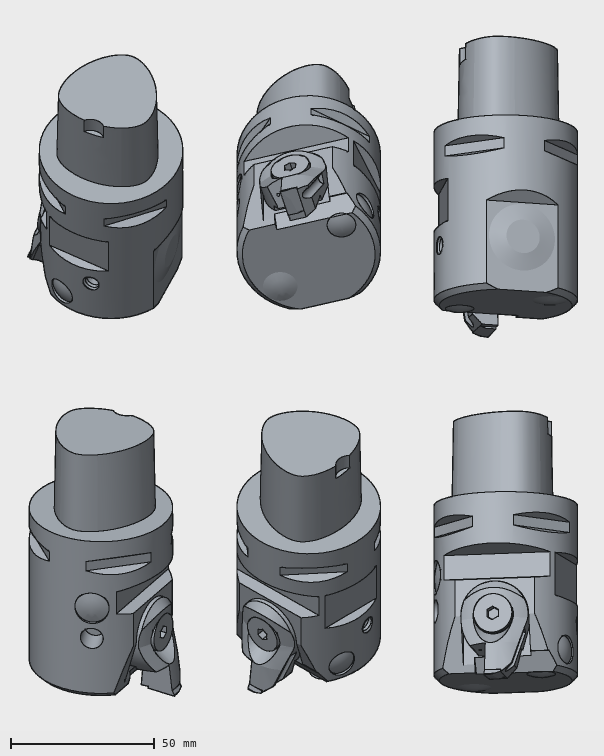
import cadquery as cq
import math


shank_length = 30.0
shank_base_width = 35.2
shank_top_width = 34.2
lobe_height = 1.3
lobe_half_angle = 37.5
points_per_arc = 7
key_notch_radius = 5.0
key_notch_offset = 18.9
key_notch_depth = 5.8

body_radius = 50.0 / 2
body_length = 62.0
body_chamfer = 1.9
wall_slope = math.tan(math.radians(14))

groove_angles = (45, 135, 225, 315)
groove_floor_offset = 22.1
groove_mid_z = -10.0
groove_floor_height = 3.6
groove_flank_slope = math.tan(math.radians(27.5))

side_flat_offset = 22.0
side_flat_angle = 7.8
side_flat_top = -20.2
side_flat_bottom = -35.2
back_flat_x = 21.4
back_flat_top = -30.3
upper_flat_x = 16.5
upper_flat_top = -20.3
upper_flat_bottom = -28.9
seat_x = 20.6
seat_floor_x = 16.0
slope_foot_x = 15.3
relief_side_y = 8.0
relief_top = -55.3
relief_top_x = 16.9
relief_foot_x = 12.9

insert_axis_z = -42.9
insert_radius = 23.8 / 2
seat_radius = 24.0 / 2
insert_face_x = 25.0
insert_face_sections = (
    (-28.8, insert_face_x, 22.1),
    (-44.5, insert_face_x, 22.1),
    (-54.0, 28.3, 15.4),
    (-66.2, 29.8, 17.3),
)
insert_chamfer_radius = 9.0
insert_chamfer_depth = 2.8
taper_angle = 16.2
blade_bottom = -64.8
blade_corner = (-7.2, -61.3)
bevel_end_y = -3.7
curved_side_middle = (9.2, -52.5)
curved_side_end = (6.2, -56.4)
blade_back_top = (-18.0, -54.7)
blade_back_foot_x = -17.1
chip_side_y = 2.0
chip_roof_front = (-30.7, -53.6)
chip_roof_back = (-15.4, -57.2)
outlet_radius = 0.5
outlet_center = (-22.6, 4.8)
outlet_depth = 2.9
side_groove_radius = 2.0
side_groove_start = cq.Vector(-20.7, -11.1, -48.8)
side_groove_end = cq.Vector(-25.6, -6.2, -65.6)
tip_root = -63.9
tip_root_x = -29.5
tip_edge = -65.5
tip_back_x = -19.9
tip_heel = (-0.7, -65.8)
tip_bottom = shank_length - 96
tip_reach = 55.3 - body_radius

head_radius = 13.6 / 2
scoop_radius = 14.2 / 2
scoop_start_x = -23.0
scoop_shift = cq.Vector(-7.8, 0, -6.0)
head_face_x = 24.9
head_length = 4.8
screw_shank_radius = 8.0 / 2
screw_end_x = 5.8
socket_corner_width = 4.7
socket_depth = 2.9

radial_offset_angle = 21.5
small_plug_diameter = 10.0
large_plug_diameter = 12.0
plug_height = 1.1
plug_sink = 1.1
large_plug_z = -26.5
small_plug_z = -53.7
small_end_plug = (-8.8, -14.2)
large_end_plug = (10.5, 13.1)
blind_hole_radius = 8.0 / 2
blind_hole_depth = 9.6
blind_hole_z = -38.4
clearance = 1.0
far_outside = 38.4


def xz_prism(points, y_low, y_high):
    """Solid with the given XZ outline between two Y values."""
    outline = cq.Workplane("XZ", origin=(0, y_high, 0)).polyline(points).close()
    return outline.extrude(y_high - y_low)


def x_cylinder(radius, x_low, x_high, z=insert_axis_z):
    """Cylinder along X on the tool's centre plane."""
    return cq.Workplane("YZ", origin=(x_low, 0, z)).circle(radius).extrude(x_high - x_low)


def lobed_outline(width, z):
    """Closed three-lobed curve of constant width, one lobe toward +Y."""
    def point(angle):
        support = width / 2 + lobe_height * math.sin(-3 * angle)
        slope = -3 * lobe_height * math.cos(3 * angle)
        x = support * math.cos(angle) - slope * math.sin(angle)
        y = support * math.sin(angle) + slope * math.cos(angle)
        return cq.Vector(x, y, z)

    def tangent(angle):
        return cq.Vector(-math.sin(angle), math.cos(angle), 0)

    edges = []
    for lobe in (90, 210, 330):
        start = lobe - lobe_half_angle
        middle = lobe + lobe_half_angle
        end = start + 120
        for low, high in ((start, middle), (middle, end)):
            step = (high - low) / (points_per_arc - 1)
            angles = [math.radians(low + i * step) for i in range(points_per_arc)]
            ends = [tangent(angles[0]), tangent(angles[-1])]
            edges.append(cq.Edge.makeSpline([point(a) for a in angles], tangents=ends))
    return cq.Wire.assembleEdges(edges)


def make_shank():
    base = lobed_outline(shank_base_width, 0)
    top = lobed_outline(shank_top_width, shank_length)
    shank = cq.Workplane(cq.Solid.makeLoft([base, top], True))
    notch = (
        cq.Workplane("XY", origin=(0, -key_notch_offset, shank_length - key_notch_depth))
        .circle(key_notch_radius)
        .extrude(key_notch_depth)
    )
    return shank.cut(notch)


def flat_cutter(offset, floor_half_height, mid_z, slope, angle):
    """Flat-bottomed cut across the cylinder, its walls leaning outward; faces +X, then turned about Z."""
    outer = far_outside
    outer_half_height = floor_half_height + slope * (outer - offset)
    cutter = xz_prism(
        [
            (offset, mid_z - floor_half_height),
            (outer, mid_z - outer_half_height),
            (outer, mid_z + outer_half_height),
            (offset, mid_z + floor_half_height),
        ],
        -far_outside,
        far_outside,
    )
    return cutter.rotate((0, 0, 0), (0, 0, 1), angle)


def flat_between(offset, top, bottom, angle):
    return flat_cutter(offset, (top - bottom) / 2, (top + bottom) / 2, wall_slope, angle)


def back_flat_cutter():
    rise = far_outside - back_flat_x
    points = [
        (back_flat_x, -far_outside * 2),
        (far_outside, -far_outside * 2),
        (far_outside, back_flat_top + rise),
        (back_flat_x, back_flat_top),
    ]
    return xz_prism(points, -far_outside, far_outside)


def seat_cutter():
    """Clears the -X side below the upper flat: seat face, sloped face, corner relief and insert pocket."""
    face = xz_prism(
        [
            (-far_outside, upper_flat_bottom),
            (-seat_x, upper_flat_bottom),
            (-seat_x, insert_axis_z),
            (-slope_foot_x, -body_length),
            (-far_outside, -body_length),
        ],
        -far_outside,
        far_outside,
    )
    relief = xz_prism(
        [
            (-far_outside, relief_top),
            (-relief_top_x, relief_top),
            (-relief_foot_x, -body_length),
            (-far_outside, -body_length),
        ],
        -far_outside,
        relief_side_y,
    )
    pocket = x_cylinder(seat_radius, -far_outside, -seat_floor_x)
    channel = xz_prism(
        [
            (-far_outside, insert_axis_z),
            (-seat_floor_x, insert_axis_z),
            (-seat_floor_x, -body_length),
            (-far_outside, -body_length),
        ],
        -seat_radius,
        seat_radius,
    )
    return face.union(relief).union(pocket).union(channel)


def dome(diameter):
    """Shallow spherical cap standing on Z = 0."""
    radius = diameter / 2
    sphere_radius = (radius ** 2 + plug_height ** 2) / (2 * plug_height)
    half = radius / 2
    middle_height = plug_height - sphere_radius + math.sqrt(sphere_radius ** 2 - half ** 2)
    profile = cq.Workplane("XZ").lineTo(radius, 0)
    profile = profile.threePointArc((half, middle_height), (0, plug_height)).close()
    return profile.revolve(360, (0, 0, 0), (0, 1, 0))


def add_side_plug(housing, diameter, angle, z):
    """Sunk plug: a round recess with a domed floor, facing the given direction about Z."""
    seat = body_radius - plug_sink
    recess = cq.Workplane("XY").circle(diameter / 2).extrude(far_outside - seat)
    placed = []
    for shape in (recess, dome(diameter)):
        shape = shape.rotate((0, 0, 0), (0, 1, 0), 90).translate((seat, 0, z))
        placed.append(shape.rotate((0, 0, 0), (0, 0, 1), angle))
    return housing.cut(placed[0]).union(placed[1])


def make_back_cap():
    """Low cone on the +X flat, in line with the insert."""
    base_radius = 23.8 / 2
    top_radius = 12.0 / 2
    height = 1.4
    cap = cq.Solid.makeCone(
        base_radius, top_radius, height, cq.Vector(back_flat_x, 0, insert_axis_z), cq.Vector(1, 0, 0)
    )
    return cq.Workplane(cap)


def make_port_cutter():
    """Countersunk port in the -Y side with a conical floor and a small pilot hole."""
    port_x = 2.9
    mouth_y = -24.7
    bore_radius = 5.0 / 2
    mouth_radius = 6.2 / 2
    chamfer = mouth_radius - bore_radius
    bore_depth = 1.9
    pilot_radius = 0.9
    cone_end = bore_depth + bore_radius - pilot_radius
    pilot_depth = 1.9
    pilot_end = cone_end + pilot_depth
    profile = [
        (0, -clearance),
        (mouth_radius, -clearance),
        (mouth_radius, 0),
        (bore_radius, chamfer),
        (bore_radius, bore_depth),
        (pilot_radius, cone_end),
        (pilot_radius, pilot_end),
        (0, pilot_end),
    ]
    cutter = cq.Workplane("XY").polyline(profile).close().revolve(360, (0, 0, 0), (0, 1, 0))
    return cutter.translate((port_x, mouth_y, insert_axis_z))


def make_housing():
    housing = cq.Workplane("XY").circle(body_radius).extrude(-body_length)
    housing = housing.faces("<Z").chamfer(body_chamfer)
    housing = housing.union(make_shank())

    for angle in groove_angles:
        housing = housing.cut(
            flat_cutter(groove_floor_offset, groove_floor_height / 2, groove_mid_z, groove_flank_slope, angle)
        )
    flat_direction = 270 - side_flat_angle
    housing = housing.cut(flat_between(side_flat_offset, side_flat_top, side_flat_bottom, flat_direction))
    housing = housing.cut(flat_between(upper_flat_x, upper_flat_top, upper_flat_bottom, 180))
    housing = housing.cut(back_flat_cutter()).cut(seat_cutter())
    housing = housing.union(make_back_cap())

    housing = add_side_plug(housing, small_plug_diameter, 270 - radial_offset_angle, small_plug_z)
    housing = add_side_plug(housing, large_plug_diameter, 90 + radial_offset_angle, large_plug_z)
    for diameter, center in ((small_plug_diameter, small_end_plug), (large_plug_diameter, large_end_plug)):
        cap = dome(diameter).mirror("XY").translate((*center, -body_length))
        housing = housing.union(cap)

    blind = cq.Workplane("YZ", origin=(body_radius - blind_hole_depth, 0, blind_hole_z))
    blind = blind.circle(blind_hole_radius).extrude(far_outside)
    housing = housing.cut(blind.rotate((0, 0, 0), (0, 0, 1), 90 + radial_offset_angle))

    housing = housing.cut(make_port_cutter())
    return housing.cut(x_cylinder(screw_shank_radius, -far_outside, -screw_end_x))


def yz_prism(points, length):
    """Solid with the given YZ outline, from far outside on the -X side inward."""
    return cq.Workplane("YZ", origin=(-far_outside, 0, 0)).polyline(points).close().extrude(length)


def make_insert_blank():
    """Round head with one straight and one curved side, running down into the blade."""
    taper = math.radians(taper_angle)
    straight_side_start = (
        -insert_radius * math.cos(taper),
        insert_axis_z - insert_radius * math.sin(taper),
    )
    outline = (
        cq.Workplane("YZ", origin=(-far_outside, 0, 0))
        .moveTo(insert_radius, insert_axis_z)
        .threePointArc((0, insert_axis_z + insert_radius), straight_side_start)
        .lineTo(*blade_corner)
        .lineTo(bevel_end_y, blade_bottom)
        .lineTo(curved_side_end[0], blade_bottom)
        .lineTo(*curved_side_end)
        .threePointArc(curved_side_middle, (insert_radius, insert_axis_z))
        .close()
        .extrude(far_outside - seat_floor_x)
    )
    sections = []
    for z, crest, radius in insert_face_sections:
        sections.append(cq.Wire.makeCircle(radius, cq.Vector(radius - crest, 0, z), cq.Vector(0, 0, 1)))
    return outline.intersect(cq.Workplane(cq.Solid.makeLoft(sections, True)))


def head_chamfer_cutter():
    """Everything outside a cone round the upper half of the insert head."""
    length = 4 * insert_chamfer_depth
    growth = length * (insert_radius - insert_chamfer_radius) / insert_chamfer_depth
    front = cq.Vector(-insert_face_x, 0, insert_axis_z)
    cone = cq.Solid.makeCone(
        insert_chamfer_radius, insert_chamfer_radius + growth, length, front, cq.Vector(1, 0, 0)
    )
    upper_half = cq.Workplane("XY", origin=(-far_outside / 2, 0, insert_axis_z))
    upper_half = upper_half.rect(far_outside, far_outside).extrude(far_outside)
    return upper_half.cut(cq.Workplane(cone))


def blade_back_cutter():
    """Leaves the back of the blade clear of the housing."""
    inside_x = clearance - seat_floor_x
    points = [
        (inside_x, blade_back_top[1]),
        blade_back_top,
        (blade_back_foot_x, blade_bottom),
        (inside_x, blade_bottom),
    ]
    return xz_prism(points, -far_outside, far_outside)


def chip_space_cutter():
    """Chip space beside the blade, with a coolant outlet in its roof."""
    floor = tip_bottom - clearance
    points = [chip_roof_front, chip_roof_back, (chip_roof_back[0], floor), (chip_roof_front[0], floor)]
    space = xz_prism(points, chip_side_y, far_outside)
    outlet = cq.Workplane("XY", origin=(*outlet_center, chip_roof_back[1]))
    outlet = outlet.circle(outlet_radius).extrude(chip_roof_front[1] - chip_roof_back[1] + outlet_depth)
    return space.union(outlet)


def side_groove_cutter():
    """Round groove along the straight side."""
    run = side_groove_end - side_groove_start
    return cq.Workplane(cq.Solid.makeCylinder(side_groove_radius, run.Length, side_groove_start, run))


def make_tip():
    """Cutting tip under the blade."""
    side = xz_prism(
        [
            (tip_root_x, tip_root),
            (-tip_reach, tip_edge),
            (-tip_reach, tip_bottom),
            (tip_back_x, tip_edge),
            (tip_back_x, tip_root),
        ],
        bevel_end_y,
        chip_side_y,
    )
    front = [
        (bevel_end_y, tip_root),
        (chip_side_y, tip_root),
        (chip_side_y, tip_bottom),
        tip_heel,
        (bevel_end_y, blade_bottom),
    ]
    return side.intersect(yz_prism(front, far_outside))


def screw_clearance():
    """Shank bore, head counterbore, and a scoop that opens down and outward."""
    bore = x_cylinder(screw_shank_radius, -far_outside, 0)
    counterbore = x_cylinder(head_radius, -far_outside, head_length - head_face_x)
    start = cq.Vector(scoop_start_x, 0, insert_axis_z)
    rims = [cq.Wire.makeCircle(scoop_radius, c, cq.Vector(1, 0, 0)) for c in (start, start + scoop_shift)]
    scoop = cq.Workplane(cq.Solid.makeLoft(rims, True))
    return bore.union(counterbore).union(scoop)


def make_insert():
    insert = make_insert_blank()
    insert = insert.cut(head_chamfer_cutter())
    insert = insert.cut(blade_back_cutter())
    insert = insert.cut(chip_space_cutter())
    insert = insert.cut(side_groove_cutter())
    insert = insert.union(make_tip())
    return insert.cut(screw_clearance())


def make_screw():
    head = x_cylinder(head_radius, -head_face_x, head_length - head_face_x)
    shank = x_cylinder(screw_shank_radius, head_length - head_face_x, -screw_end_x)
    socket = (
        cq.Workplane("YZ", origin=(-head_face_x, 0, insert_axis_z))
        .transformed(rotate=(0, 0, 90))
        .polygon(6, socket_corner_width)
        .extrude(socket_depth)
    )
    return head.union(shank).cut(socket)


housing = make_housing().solids()
insert = make_insert().solids()
screw = make_screw().solids()
result = cq.Compound.makeCompound([housing.val(), insert.val(), screw.val()])